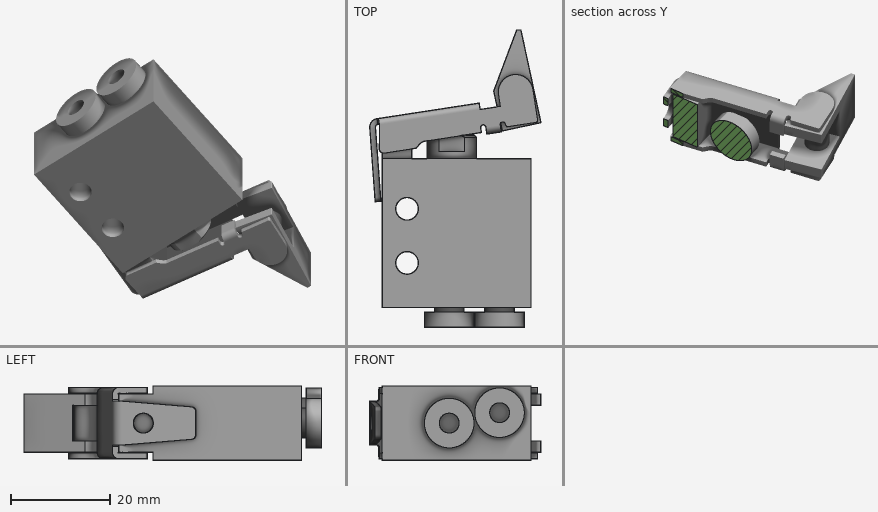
import cadquery as cq
import math

BLOCK_SIDE = 30.0
BLOCK_THICKNESS = 15.0
MOUNT_HOLE_DIAMETER = 4.5
MOUNT_HOLE_CENTRES = [(5.0, 9.0), (5.0, 19.9)]

FITTING_CENTRES = [(13.5, 0.0), (23.65, 2.1)]
FITTING_RADIUS = 5.0
FITTING_LENGTH = 3.1
NECK_RADIUS = 3.0
NECK_LENGTH = 0.9
FITTING_BORE_RADIUS = 2.0

PLUNGER_X = 14.0
PLUNGER_RADIUS = 5.0
PLUNGER_HEIGHT = 4.75
PLUNGER_CHAMFER = 0.45
FLAT_WIDTH = 5.2
FLAT_START = 1.45
FLAT_DEPTH = PLUNGER_RADIUS - math.sqrt(PLUNGER_RADIUS**2 - (FLAT_WIDTH / 2) ** 2)

LUG_LENGTH = 6.0
LUG_HEIGHT = 6.8
SIDE_CLEARANCE = 0.1

LEVER_ORIGIN = (-0.56, BLOCK_SIDE + 8.15)
LEVER_TILT = 8.7
SHEET = 1.2
BEND_RADIUS = 1.3
LEVER_HALF_WIDTH = 7.2
WALL_INNER = LEVER_HALF_WIDTH - SHEET
WEB_START = -0.2
WEB_END = 20.35

HEEL_U = -1.0
HEEL_V = -7.1
HEEL_RADIUS = 0.9
STEP_START = 6.4
STEP_RISE_U = 0.7
STEP_RISE_V = 0.6
STEP_END = 8.1
MIDDLE_V = -5.97
TOE_V = -5.6
TOE_CORNER = 0.4
EAR_RADIUS = 3.5
EAR_CENTRE = (27.95, 1.1)
NOTCH_RADIUS = 0.5
NOTCH_TOP = -4.5
NOTCH_FLARE = 0.2
TAB_START = 20.9
TAB_END = 23.9
TAB_V = -5.15
TAB_INNER = 3.1

STRAP_BEND_RADIUS = 1.75
STRAP_BEND_START = -0.5
STRAP_LEAN = 4.5
STRAP_LENGTH = 14.95
STRAP_TOP_HALF_WIDTH = 4.43
STRAP_END_HALF_WIDTH = 3.2
STRAP_CORNER = 0.9
STRAP_HOLE_DIAMETER = 4.0
STRAP_HOLE_OFFSET = 4.35

WEDGE_ORIGIN = (24.19, BLOCK_SIDE + 5.56)
WEDGE_TILT = 12.2
WEDGE_WIDTH = 8.0
WEDGE_SHOULDER = 8.25
WEDGE_HEIGHT = 19.15
TIP_WIDTH = 0.87
WEDGE_CORNER = 0.2
WEDGE_HALF_THICKNESS = WALL_INNER - SIDE_CLEARANCE
SLOT_HALF_WIDTH = 3.56
SLOT_TOP = 10.5
HUB_RADIUS = 2.5


def tilted_plane(origin, tilt, z=0.0):
    """Plane parallel to XY whose first axis is turned by tilt degrees."""
    angle = math.radians(tilt)
    return cq.Plane(
        origin=(origin[0], origin[1], z),
        xDir=(math.cos(angle), math.sin(angle), 0),
        normal=(0, 0, 1),
    )


LEVER_PLANE = tilted_plane(LEVER_ORIGIN, LEVER_TILT)
WEDGE_PLANE = tilted_plane(WEDGE_ORIGIN, WEDGE_TILT)


def make_fitting(x, z):
    """Disc on a short neck, bored from its end to the face of the block."""
    rear = cq.Workplane("XZ", origin=(x, 0, z))
    neck = rear.circle(NECK_RADIUS).extrude(NECK_LENGTH)
    disc = rear.workplane(offset=NECK_LENGTH).circle(FITTING_RADIUS).extrude(FITTING_LENGTH)
    bore = rear.circle(FITTING_BORE_RADIUS).extrude(NECK_LENGTH + FITTING_LENGTH)
    return neck.union(disc).cut(bore)


def make_plunger():
    """Round plunger standing on the front face, with a flat milled on each side."""
    front = cq.Workplane("XZ", origin=(PLUNGER_X, BLOCK_SIDE, 0))
    plunger = front.circle(PLUNGER_RADIUS).extrude(-PLUNGER_HEIGHT)
    plunger = plunger.faces(">Y").chamfer(PLUNGER_CHAMFER)
    for side in (-1, 1):
        flat = cq.Workplane("XY").box(FLAT_WIDTH, PLUNGER_HEIGHT, 2 * FLAT_DEPTH, centered=(True, False, True))
        plunger = plunger.cut(flat.translate((PLUNGER_X, BLOCK_SIDE + FLAT_START, side * PLUNGER_RADIUS)))
    return plunger


def make_valve():
    """Block with mounting holes, fittings, plunger and pivot lug."""
    valve = cq.Workplane("XY").box(BLOCK_SIDE, BLOCK_SIDE, BLOCK_THICKNESS, centered=(False, False, True))
    holes = (
        cq.Workplane("XY", origin=(0, 0, -BLOCK_THICKNESS / 2))
        .pushPoints(MOUNT_HOLE_CENTRES)
        .circle(MOUNT_HOLE_DIAMETER / 2)
        .extrude(BLOCK_THICKNESS)
    )
    lug = cq.Workplane("XY").box(LUG_LENGTH, LUG_HEIGHT, 2 * WEDGE_HALF_THICKNESS, centered=(False, False, True))
    valve = valve.cut(holes).union(lug.translate((0, BLOCK_SIDE, 0))).union(make_plunger())
    for x, z in FITTING_CENTRES:
        valve = valve.union(make_fitting(x, z))
    return valve


def make_wall():
    """Side wall on the +Z side: heel, stepped lower edge, two relief notches and a round ear."""
    ear_u, ear_v = EAR_CENTRE
    toe_u = ear_u + EAR_RADIUS
    notch_width = 2 * NOTCH_RADIUS
    notch_shoulder = NOTCH_TOP - NOTCH_RADIUS
    first_notch = TAB_START - notch_width
    return (
        cq.Workplane(LEVER_PLANE)
        .workplane(offset=WALL_INNER)
        .moveTo(WEB_START, -BEND_RADIUS)
        .lineTo(HEEL_U, HEEL_V + HEEL_RADIUS)
        .radiusArc((HEEL_U + HEEL_RADIUS, HEEL_V), -HEEL_RADIUS)
        .lineTo(STEP_START, HEEL_V)
        .lineTo(STEP_START + STEP_RISE_U, HEEL_V + STEP_RISE_V)
        .tangentArcPoint((STEP_END, MIDDLE_V), relative=False)
        .lineTo(first_notch, MIDDLE_V)
        .lineTo(first_notch, notch_shoulder)
        .threePointArc((first_notch + NOTCH_RADIUS, NOTCH_TOP), (TAB_START, notch_shoulder))
        .lineTo(TAB_START, TAB_V)
        .lineTo(TAB_END, TAB_V)
        .lineTo(TAB_END, notch_shoulder)
        .threePointArc((TAB_END + NOTCH_RADIUS, NOTCH_TOP), (TAB_END + notch_width, notch_shoulder))
        .lineTo(TAB_END + notch_width + NOTCH_FLARE, TOE_V)
        .lineTo(toe_u - TOE_CORNER, TOE_V)
        .radiusArc((toe_u, TOE_V + TOE_CORNER), -TOE_CORNER)
        .lineTo(toe_u, ear_v)
        .threePointArc((ear_u, ear_v + EAR_RADIUS), (ear_u - EAR_RADIUS, ear_v))
        .lineTo(ear_u - EAR_RADIUS, -BEND_RADIUS)
        .close()
        .extrude(SHEET)
    )


def lever_cross_plane(u):
    """Plane across the lever at u: first axis out of the web, second along Z."""
    return cq.Plane(
        origin=LEVER_PLANE.toWorldCoords((u, 0, 0)).toTuple(),
        xDir=LEVER_PLANE.yDir.toTuple(),
        normal=LEVER_PLANE.xDir.toTuple(),
    )


def quarter_point(centre_v, centre_z, radius, sign_v):
    """Middle of the quarter arc that joins the outward Z direction to the given V direction."""
    reach = radius * math.sqrt(0.5)
    return centre_v + sign_v * reach, centre_z + reach


def make_web():
    """Flat web that bends down into both walls; one half is drawn and mirrored."""
    inner_radius = BEND_RADIUS - SHEET
    flat_edge = LEVER_HALF_WIDTH - BEND_RADIUS
    half = (
        cq.Workplane(lever_cross_plane(WEB_START))
        .moveTo(0, 0)
        .lineTo(0, flat_edge)
        .threePointArc(
            quarter_point(-BEND_RADIUS, flat_edge, BEND_RADIUS, 1), (-BEND_RADIUS, LEVER_HALF_WIDTH)
        )
        .lineTo(-BEND_RADIUS, WALL_INNER)
        .threePointArc(quarter_point(-BEND_RADIUS, flat_edge, inner_radius, 1), (-SHEET, flat_edge))
        .lineTo(-SHEET, 0)
        .close()
        .extrude(WEB_END - WEB_START)
    )
    return half.union(half.mirror("XY"))


def make_tab():
    """Tab folded inward from the lower edge of the +Z wall."""
    inner_radius = BEND_RADIUS - SHEET
    flat_edge = LEVER_HALF_WIDTH - BEND_RADIUS
    outer_v = TAB_V - BEND_RADIUS
    return (
        cq.Workplane(lever_cross_plane(TAB_START))
        .moveTo(TAB_V, LEVER_HALF_WIDTH)
        .threePointArc(quarter_point(TAB_V, flat_edge, BEND_RADIUS, -1), (outer_v, flat_edge))
        .lineTo(outer_v, TAB_INNER)
        .lineTo(outer_v + SHEET, TAB_INNER)
        .lineTo(outer_v + SHEET, flat_edge)
        .threePointArc(quarter_point(TAB_V, flat_edge, inner_radius, -1), (TAB_V, WALL_INNER))
        .close()
        .extrude(TAB_END - TAB_START)
    )


def make_strap():
    """Flared root and bend at the end of the web, and the tapered, drilled strap hanging from it."""
    lean = math.radians(STRAP_LEAN)
    out_u, out_v = -math.cos(lean), math.sin(lean)
    half_turn = (math.pi / 2 + math.pi - lean) / 2
    mid_u, mid_v = math.cos(half_turn), math.sin(half_turn)
    centre_u, centre_v = STRAP_BEND_START, -STRAP_BEND_RADIUS
    inner_radius = STRAP_BEND_RADIUS - SHEET

    def on_bend(radius, u, v):
        return centre_u + radius * u, centre_v + radius * v

    bend = (
        cq.Workplane(LEVER_PLANE)
        .moveTo(WEB_START, 0)
        .lineTo(STRAP_BEND_START, 0)
        .threePointArc(on_bend(STRAP_BEND_RADIUS, mid_u, mid_v), on_bend(STRAP_BEND_RADIUS, out_u, out_v))
        .lineTo(*on_bend(inner_radius, out_u, out_v))
        .threePointArc(on_bend(inner_radius, mid_u, mid_v), (STRAP_BEND_START, -SHEET))
        .lineTo(WEB_START, -SHEET)
        .close()
        .extrude(STRAP_TOP_HALF_WIDTH, both=True)
    )
    root_half_width = STRAP_TOP_HALF_WIDTH + WEB_START - STRAP_BEND_START
    root = (
        cq.Workplane(LEVER_PLANE.rotated((90, 0, 0)))
        .polyline(
            [
                (STRAP_BEND_START, -STRAP_TOP_HALF_WIDTH),
                (WEB_START, -root_half_width),
                (WEB_START, root_half_width),
                (STRAP_BEND_START, STRAP_TOP_HALF_WIDTH),
            ]
        )
        .close()
        .extrude(SHEET)
    )
    outward = LEVER_PLANE.xDir * out_u + LEVER_PLANE.yDir * out_v
    strap_top = LEVER_PLANE.toWorldCoords((*on_bend(STRAP_BEND_RADIUS, out_u, out_v), 0))
    strap_plane = cq.Plane(origin=strap_top.toTuple(), xDir=(0, 0, 1), normal=outward.toTuple())
    down = -1 if strap_plane.yDir.y > 0 else 1
    plate = (
        cq.Workplane(strap_plane)
        .polyline(
            [
                (-STRAP_TOP_HALF_WIDTH, 0),
                (STRAP_TOP_HALF_WIDTH, 0),
                (STRAP_END_HALF_WIDTH, down * STRAP_LENGTH),
                (-STRAP_END_HALF_WIDTH, down * STRAP_LENGTH),
            ]
        )
        .close()
        .extrude(-SHEET)
    )
    plate = plate.faces("<Y").edges("not |Z").fillet(STRAP_CORNER)
    hole = (
        cq.Workplane(strap_plane)
        .center(0, down * STRAP_HOLE_OFFSET)
        .circle(STRAP_HOLE_DIAMETER / 2)
        .extrude(-SHEET)
    )
    return bend.union(root).union(plate.cut(hole))


def make_lever():
    """Sheet lever: web, strap, and mirrored pairs of walls and tabs."""
    lever = make_web().union(make_strap())
    for side_part in (make_wall(), make_tab()):
        lever = lever.union(side_part).union(side_part.mirror("XY"))
    return lever


def make_wedge():
    """Wedge with a slot through its base, bridged by a round hub on the ear axis."""
    tilt = math.radians(WEDGE_TILT)
    body = (
        cq.Workplane(WEDGE_PLANE)
        .polyline(
            [
                (0, 0),
                (WEDGE_WIDTH, 0),
                (WEDGE_WIDTH, WEDGE_HEIGHT),
                (WEDGE_WIDTH - TIP_WIDTH * math.cos(tilt), WEDGE_HEIGHT + TIP_WIDTH * math.sin(tilt)),
                (0, WEDGE_SHOULDER),
            ]
        )
        .close()
        .extrude(WEDGE_HALF_THICKNESS, both=True)
    )
    slot = (
        cq.Workplane(WEDGE_PLANE)
        .center(WEDGE_WIDTH / 2, 0)
        .rect(WEDGE_WIDTH, 2 * SLOT_TOP)
        .extrude(SLOT_HALF_WIDTH, both=True)
    )
    hub = (
        cq.Workplane(LEVER_PLANE)
        .workplane(offset=-SLOT_HALF_WIDTH)
        .center(*EAR_CENTRE)
        .circle(HUB_RADIUS)
        .extrude(2 * SLOT_HALF_WIDTH)
    )
    return body.edges("|Z and >X").fillet(WEDGE_CORNER).cut(slot).union(hub)


valve = make_valve()
lever = make_lever()
wedge = make_wedge()

result = cq.Compound.makeCompound([valve.val(), lever.val(), wedge.val()])